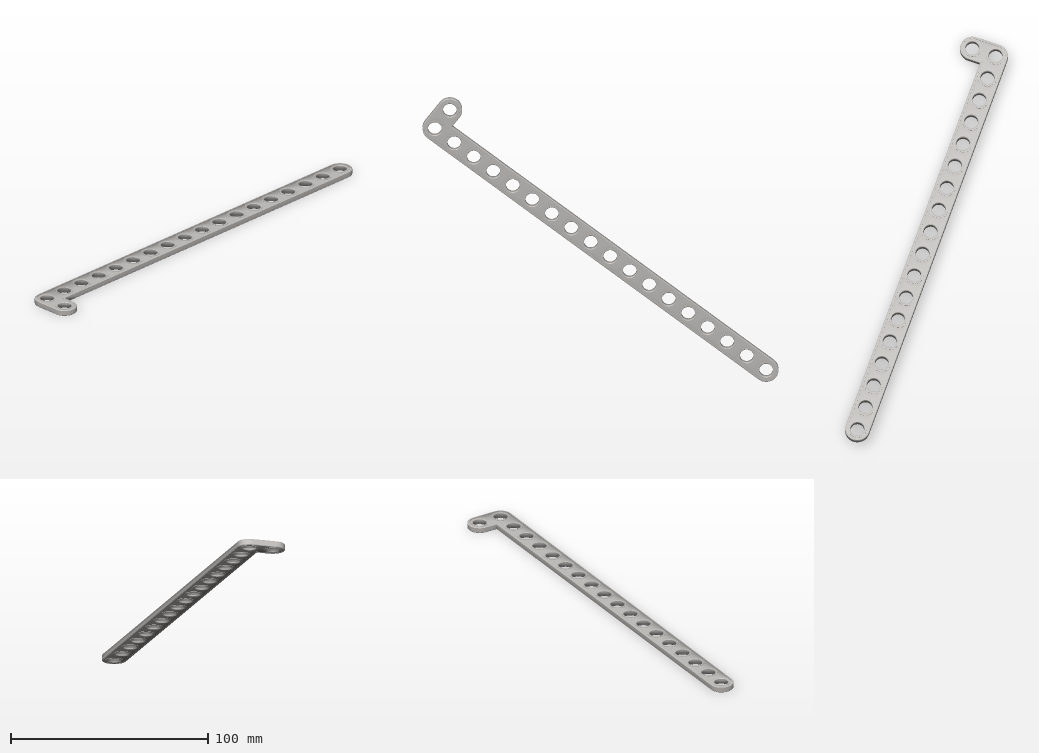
import cadquery as cq

length = 225.0
hole_count = 18
thickness = 3.2
hole_diameter = 7.0
boss_diameter = 9.2
rim_width = 1.08
recess_depth = 0.2
edge_chamfer = 0.3

pitch = length / hole_count
bar_width = pitch
long_span = (hole_count - 1) * pitch
recess_width = bar_width - 2 * rim_width

long_bar_holes = [(0, row * pitch) for row in range(hole_count)]
foot_hole = (pitch, 0)
hole_centres = long_bar_holes + [foot_hole]


def l_plate(width, height):
    """L-shaped plate with full-radius ends, centred on the lines of holes."""
    long_bar = (
        cq.Workplane("XY")
        .center(0, long_span / 2)
        .slot2D(long_span + width, width, 90)
        .extrude(height)
    )
    foot = (
        cq.Workplane("XY")
        .center(pitch / 2, 0)
        .slot2D(pitch + width, width)
        .extrude(height)
    )
    return long_bar.union(foot).clean()


def cylinders(diameter, height):
    """One cylinder at every hole centre."""
    return cq.Workplane("XY").pushPoints(hole_centres).circle(diameter / 2).extrude(height)


plate = l_plate(bar_width, thickness).cut(cylinders(hole_diameter, thickness))
plate = plate.faces("<Z or >Z").edges().chamfer(edge_chamfer)

bottom_recess = l_plate(recess_width, recess_depth).cut(cylinders(boss_diameter, recess_depth))
top_recess = bottom_recess.translate((0, 0, thickness - recess_depth))

result = plate.cut(bottom_recess).cut(top_recess)